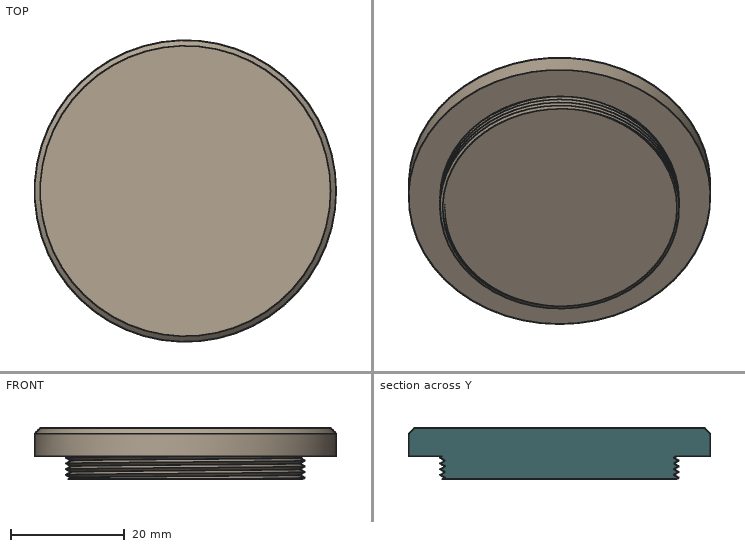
import cadquery as cq
import math

cap_diameter = 53.0
cap_height = 5.0
cap_chamfer = 1.0

thread_diameter = 42.0
thread_pitch = 1.0
thread_length = 4.0
thread_depth = 0.85
flank_angle = 60.0
crest_start_angle = -90.0
root_overlap = 0.1

crest_radius = thread_diameter / 2
root_radius = crest_radius - thread_depth


def make_cap():
    """Plain disc resting on the spigot, with a chamfered top rim."""
    disc = cq.Workplane("XY", origin=(0, 0, thread_length)).circle(cap_diameter / 2).extrude(cap_height)
    return disc.faces(">Z").edges().chamfer(cap_chamfer)


def make_ridge():
    """Helical V-shaped ridge, overrunning the spigot by one turn at each end."""
    ridge_start = -thread_pitch
    ridge_height = thread_length + 2 * thread_pitch
    base_half_width = thread_depth * math.tan(math.radians(flank_angle / 2))
    helix = cq.Wire.makeHelix(thread_pitch, ridge_height, root_radius)
    ridge = (
        cq.Workplane("XZ")
        .moveTo(root_radius - root_overlap, -base_half_width)
        .lineTo(root_radius, -base_half_width)
        .lineTo(crest_radius, 0)
        .lineTo(root_radius, base_half_width)
        .lineTo(root_radius - root_overlap, base_half_width)
        .close()
        .sweep(cq.Workplane(obj=helix), isFrenet=True)
    )
    return ridge.rotate((0, 0, 0), (0, 0, 1), crest_start_angle).translate((0, 0, ridge_start))


def make_spigot():
    """Core cylinder with the ridge, trimmed flat at both ends."""
    core = cq.Workplane("XY").circle(root_radius).extrude(thread_length)
    envelope = cq.Workplane("XY").circle(cap_diameter / 2).extrude(thread_length)
    return core.union(make_ridge().intersect(envelope))


result = make_cap().union(make_spigot())